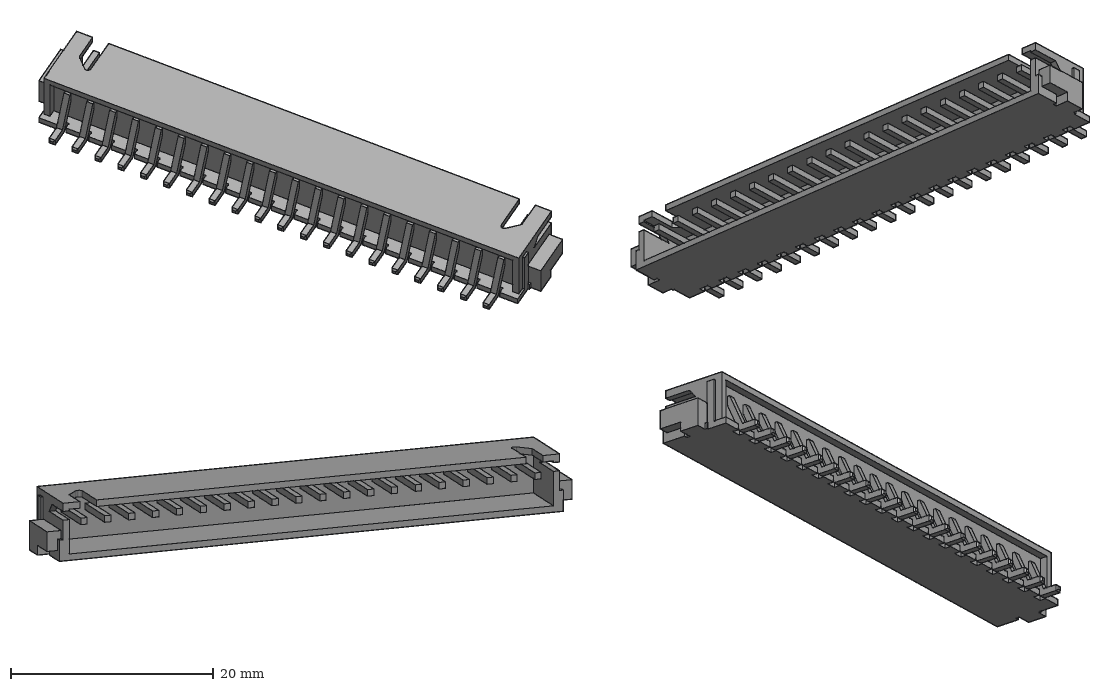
import cadquery as cq
import math


HOUSING_LENGTH = 52.85
HOUSING_HEIGHT = 5.9
HOUSING_DEPTH = 7.1
OPENING_LENGTH = 51.5
FLOOR = 0.65
ROOF = 0.65

INSERT_LENGTH = 53.3
INSERT_BACK = 5.4
INSERT_FACE = 6.25
INSERT_HEIGHT = HOUSING_HEIGHT - ROOF
FOOT_BACK = 5.55
FOOT_FRONT = 7.75
FOOT_SLOT_WIDTH = 1.0

PIN_COUNT = 20
PIN_PITCH = 2.54
PIN_WIDTH = 0.65
PIN_TOP = 4.2
PIN_INNER_END = 0.1
PIN_OUTER_END = 9.9
PIN_BEND = 6.55
PIN_LANDING = 8.15
PIN_TIP_CHAMFER = 0.15

END_SLOT_BOTTOM = 4.2
END_SLOT_TOP = 5.1
END_SLOT_DEPTH_TOP = 2.95
END_SLOT_DEPTH_BOTTOM = 3.75

ROOF_SLOT_OUTER_X = 24.65
ROOF_SLOT_INNER_X = 22.85
ROOF_SLOT_DEPTH = 4.2
ROOF_SLOT_OUTER_DEPTH = 2.9
ROOF_SLOT_FILLET = 0.35
SELECTION_MARGIN = 0.05

TOTAL_LENGTH = 55.85
TAB_BACK = 0.5
TAB_LEG_BACK = 3.05
TAB_FRONT = 5.25
TAB_TOP = 3.0
TAB_STEP = 1.0
LEDGE_X = 26.8
LEDGE_DEPTH = 2.7
LEDGE_HEIGHT = 2.2


def block(x_min, x_max, depth_min, depth_max, z_min, z_max):
    """Box between two X positions, two depths behind the mating face and two heights."""
    size = (x_max - x_min, depth_max - depth_min, z_max - z_min)
    return cq.Workplane("XY").box(*size, centered=False).translate((x_min, -depth_max, z_min))


def side_profile(points, x_min, x_max):
    """Extrude a (depth, height) outline along X."""
    outline = [(-depth, z) for depth, z in points]
    return cq.Workplane("YZ").workplane(offset=x_min).polyline(outline).close().extrude(x_max - x_min)


def both_ends(shape):
    """The shape joined with its mirror image at the other end of the row."""
    return shape.union(shape.mirror("YZ"))


def housing():
    half = HOUSING_LENGTH / 2
    half_opening = OPENING_LENGTH / 2
    shell = block(-half, half, 0, HOUSING_DEPTH, 0, HOUSING_HEIGHT)
    opening = block(-half_opening, half_opening, 0, HOUSING_DEPTH, FLOOR, HOUSING_HEIGHT - ROOF)
    return shell.cut(opening)


def end_slots():
    """Slots through both end walls, with a sloping inner end."""
    points = [
        (0, END_SLOT_BOTTOM),
        (END_SLOT_DEPTH_BOTTOM, END_SLOT_BOTTOM),
        (END_SLOT_DEPTH_TOP, END_SLOT_TOP),
        (0, END_SLOT_TOP),
    ]
    return both_ends(side_profile(points, OPENING_LENGTH / 2, HOUSING_LENGTH / 2))


def roof_slots():
    """Slots through the roof, each with a 45 degree outer shoulder and a rounded end."""
    shoulder_x = ROOF_SLOT_OUTER_X - (ROOF_SLOT_DEPTH - ROOF_SLOT_OUTER_DEPTH)
    slot = (
        cq.Workplane("XY")
        .workplane(offset=HOUSING_HEIGHT - ROOF)
        .moveTo(ROOF_SLOT_OUTER_X, 0)
        .lineTo(ROOF_SLOT_OUTER_X, -ROOF_SLOT_OUTER_DEPTH)
        .lineTo(shoulder_x, -ROOF_SLOT_DEPTH)
        .lineTo(ROOF_SLOT_INNER_X, -ROOF_SLOT_DEPTH)
        .lineTo(ROOF_SLOT_INNER_X, 0)
        .close()
        .extrude(ROOF)
    )
    end_corners = cq.selectors.BoxSelector(
        (ROOF_SLOT_INNER_X - SELECTION_MARGIN, -ROOF_SLOT_DEPTH - SELECTION_MARGIN, 0),
        (shoulder_x + SELECTION_MARGIN, -ROOF_SLOT_DEPTH + SELECTION_MARGIN, HOUSING_HEIGHT),
    )
    return both_ends(slot.edges("|Z").edges(end_corners).fillet(ROOF_SLOT_FILLET))


def pin_positions():
    first = -PIN_PITCH * (PIN_COUNT - 1) / 2
    return [first + index * PIN_PITCH for index in range(PIN_COUNT)]


def insert():
    """L-shaped pin carrier, without the slots in its foot."""
    half = INSERT_LENGTH / 2
    wall = block(-half, half, INSERT_BACK, INSERT_FACE, FLOOR, INSERT_HEIGHT)
    foot = block(-half, half, FOOT_BACK, FOOT_FRONT, 0, FLOOR)
    return wall.union(foot)


def foot_slots():
    """Slots in the front edge of the foot, one around each pin."""
    slots = cq.Workplane("XY")
    half = FOOT_SLOT_WIDTH / 2
    for x in pin_positions():
        slots = slots.add(block(x - half, x + half, HOUSING_DEPTH, FOOT_FRONT, 0, FLOOR))
    return slots.combine()


def pin():
    """Pin with a level contact, a sloping middle and a level solder foot, all PIN_WIDTH thick."""
    slope_angle = math.atan2(PIN_TOP - PIN_WIDTH, PIN_LANDING - PIN_BEND)
    corner_shift = PIN_WIDTH * math.tan(slope_angle / 2)
    points = [
        (PIN_INNER_END, PIN_TOP),
        (PIN_BEND, PIN_TOP),
        (PIN_LANDING, PIN_WIDTH),
        (PIN_OUTER_END, PIN_WIDTH),
        (PIN_OUTER_END, 0),
        (PIN_LANDING - corner_shift, 0),
        (PIN_BEND - corner_shift, PIN_TOP - PIN_WIDTH),
        (PIN_INNER_END, PIN_TOP - PIN_WIDTH),
    ]
    body = side_profile(points, -PIN_WIDTH / 2, PIN_WIDTH / 2)
    return body.faces("<Y").chamfer(PIN_TIP_CHAMFER)


def tabs():
    """Solder tabs standing out of both ends, stepped up towards the mating face."""
    points = [
        (TAB_BACK, TAB_STEP),
        (TAB_BACK, TAB_TOP),
        (TAB_FRONT, TAB_TOP),
        (TAB_FRONT, 0),
        (TAB_LEG_BACK, 0),
        (TAB_LEG_BACK, TAB_STEP),
    ]
    return both_ends(side_profile(points, OPENING_LENGTH / 2, TOTAL_LENGTH / 2))


def ledges():
    """Low thickenings of the end walls, before and behind each solder tab leg."""
    inner_x = OPENING_LENGTH / 2
    long_ledge = block(inner_x, LEDGE_X, 0, LEDGE_DEPTH, 0, LEDGE_HEIGHT)
    short_ledge = block(inner_x, LEDGE_X, TAB_FRONT, FOOT_BACK, 0, FLOOR)
    return both_ends(long_ledge.union(short_ledge))


result = housing().cut(end_slots()).cut(roof_slots())
result = result.union(insert()).cut(foot_slots())
result = result.union(tabs()).union(ledges())
single_pin = pin()
for pin_x in pin_positions():
    result = result.union(single_pin.translate((pin_x, 0, 0)))